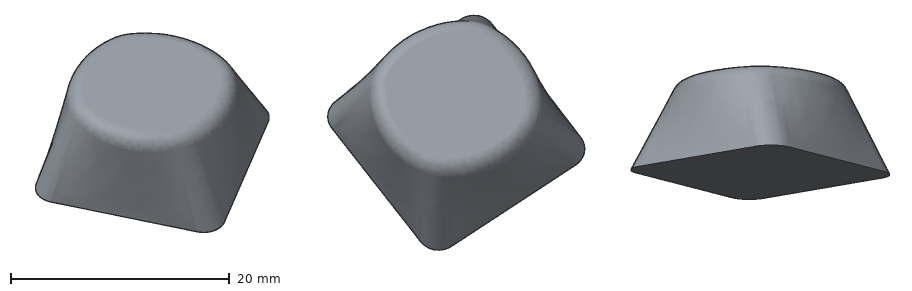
import cadquery as cq
import math

base_side = 18.0
base_corner_radius = 2.0
top_diameter = 15.0
height = 8.5
top_edge_fillet = 1.5
top_twist = -7.0

QUARTER_TURNS = (0, 90, 180, 270)

half_flat_length = base_side / 2 - base_corner_radius
half_flat_angle = math.degrees(math.atan2(half_flat_length, base_side / 2))


def turned(x, y, angle):
    """Point (x, y) turned about the Z axis by an angle in degrees."""
    cosine = math.cos(math.radians(angle))
    sine = math.sin(math.radians(angle))
    return (x * cosine - y * sine, x * sine + y * cosine)


def base_wire():
    """Rounded square of four sides and four corner arcs."""
    half_side = base_side / 2
    corner_middle = half_flat_length + base_corner_radius / math.sqrt(2)
    outline = cq.Workplane("XY").moveTo(half_side, -half_flat_length)
    for angle in QUARTER_TURNS:
        outline = outline.lineTo(*turned(half_side, half_flat_length, angle))
        outline = outline.threePointArc(
            turned(corner_middle, corner_middle, angle),
            turned(half_flat_length, half_side, angle),
        )
    return outline.close().val()


def top_wire():
    """Circle split into eight arcs that pair with the sides and corners of the base."""
    radius = top_diameter / 2
    outline = cq.Workplane("XY", origin=(0, 0, height))
    outline = outline.moveTo(*turned(radius, 0, top_twist - half_flat_angle))
    for quarter in QUARTER_TURNS:
        angle = quarter + top_twist
        outline = outline.threePointArc(
            turned(radius, 0, angle),
            turned(radius, 0, angle + half_flat_angle),
        )
        outline = outline.threePointArc(
            turned(radius, 0, angle + 45),
            turned(radius, 0, angle + 90 - half_flat_angle),
        )
    return outline.wire().val()


body = cq.Workplane(cq.Solid.makeLoft([base_wire(), top_wire()]))

result = body.faces(">Z").edges().fillet(top_edge_fillet)